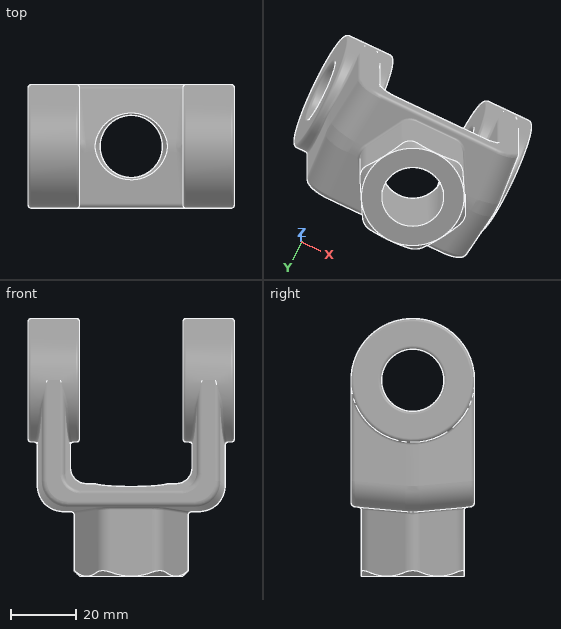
import cadquery as cq
import math

height = 79.4
width = 63.5
depth = 38.1

eye_radius = depth / 2
eye_width = 15.9
eye_bore = 19.05
eye_rim = 1.0
eye_x = (width - eye_width) / 2
eye_z = height - eye_radius

arm_thickness = 10.3
plate_thickness = 8.7
plate_bottom = 19.85
taper_angle = math.radians(5.2)
ridge_half_width = 2.0
outer_corner = 7.9
inner_corner = 4.8
strap_edge_round = 1.6

hex_flats = 31.75
hex_corner_round = 4.8
hex_end_radius = 15.8
shank_bore = 19.05
bore_chamfer = 1.6

eye_blend = 0.8
shank_blend = 0.8

pick_margin = 0.1

plate_top = plate_bottom + plate_thickness
arm_outer = eye_x + arm_thickness / 2
arm_inner = eye_x - arm_thickness / 2
hex_corner_radius = hex_flats / 2 / math.cos(math.pi / 6)

ridge_drop = ridge_half_width * math.tan(taper_angle / 2)
edge_drop = ridge_drop + (depth / 2 - ridge_half_width) * math.tan(taper_angle)


def tapered_block(ridge_x, ridge_z, side):
    """Block below the arm tops whose side and bottom faces carry the ridge and taper.

    With side = 1 the ridges stand out of the block; with side = -1 they cut into it.
    """
    half = depth / 2
    ridge = ridge_half_width
    tangent_x = ridge_x - side * ridge_drop
    edge_x = ridge_x - side * edge_drop
    tangent_z = ridge_z + side * ridge_drop
    edge_z = ridge_z + side * edge_drop

    plan = (
        cq.Workplane("XY")
        .moveTo(-edge_x, half)
        .lineTo(edge_x, half)
        .lineTo(tangent_x, ridge)
        .threePointArc((ridge_x, 0), (tangent_x, -ridge))
        .lineTo(edge_x, -half)
        .lineTo(-edge_x, -half)
        .lineTo(-tangent_x, -ridge)
        .threePointArc((-ridge_x, 0), (-tangent_x, ridge))
        .close()
        .extrude(eye_z)
    )
    end_view = (
        cq.Workplane("YZ")
        .moveTo(-half, eye_z)
        .lineTo(-half, edge_z)
        .lineTo(-ridge, tangent_z)
        .threePointArc((0, ridge_z), (ridge, tangent_z))
        .lineTo(half, edge_z)
        .lineTo(half, eye_z)
        .close()
        .extrude(width, both=True)
    )
    return plan.intersect(end_view)


def corner_edges(ridge_x, ridge_z):
    """Selector for the bottom corner edges of a tapered block."""
    reach = edge_drop + pick_margin
    half = depth / 2 - pick_margin
    right = cq.selectors.BoxSelector(
        (ridge_x - reach, -half, ridge_z - reach), (ridge_x + reach, half, ridge_z + reach)
    )
    left = cq.selectors.BoxSelector(
        (-ridge_x - reach, -half, ridge_z - reach), (-ridge_x + reach, half, ridge_z + reach)
    )
    return right + left


def make_strap():
    """Tapered U with constant-radius corners and rounded long edges, open at the top."""
    outside = tapered_block(arm_outer, plate_bottom, 1)
    outside = outside.edges(corner_edges(arm_outer, plate_bottom)).fillet(outer_corner)
    inside = tapered_block(arm_inner, plate_top, -1)
    inside = inside.edges(corner_edges(arm_inner, plate_top)).fillet(inner_corner)
    strap = outside.cut(inside)
    return strap.faces("<Y or >Y").edges("not(>Z)").fillet(strap_edge_round)


def eye_disc(x, radius):
    """Disc as wide as an eye and on its axis."""
    return cq.Workplane("YZ", origin=(x - eye_width / 2, 0, eye_z)).circle(radius).extrude(eye_width)


def make_eye(x):
    """Ring along X with rounded outer rims; its bore is cut after joining it to the arm."""
    return eye_disc(x, eye_radius).edges().fillet(eye_rim)


def cut_eye_bore(body, x):
    """Cut the pin hole and round both its rims."""
    reach = eye_bore / 2 + pick_margin
    rim_circles = cq.selectors.BoxSelector(
        (x - eye_width, -reach, eye_z - reach),
        (x + eye_width, reach, eye_z + reach),
        boundingbox=True,
    )
    bored = body.cut(eye_disc(x, eye_bore / 2))
    return bored.edges(rim_circles).edges("%CIRCLE").fillet(eye_rim)


def make_shank():
    """Hexagonal prism with rounded corners and a 45 degree chamfer at its lower end."""
    shank_length = plate_bottom + plate_thickness / 2
    prism = (
        cq.Workplane("XY")
        .polygon(6, 2 * hex_corner_radius)
        .extrude(shank_length)
        .edges("|Z")
        .fillet(hex_corner_round)
    )
    cone = cq.Solid.makeCone(hex_end_radius, hex_end_radius + shank_length, shank_length)
    return prism.intersect(cq.Workplane(cone))


def blend_shank(body):
    """Round the junction between the shank and the underside of the strap."""
    reach_x = hex_corner_radius
    reach_y = hex_flats / 2 + pick_margin
    underside = cq.selectors.BoxSelector(
        (-reach_x, -reach_y, plate_bottom - pick_margin), (reach_x, reach_y, plate_bottom + edge_drop)
    )
    return body.edges(underside).fillet(shank_blend)


def blend_eye(body, x):
    """Round the junction between an arm and the lower half of its eye."""
    reach = arm_thickness / 2 + pick_margin
    junction = cq.selectors.BoxSelector(
        (x - reach, -eye_radius + pick_margin, eye_z - eye_radius - pick_margin),
        (x + reach, eye_radius - pick_margin, eye_z - pick_margin),
    )
    return body.edges(junction).fillet(eye_blend)


def cut_shank_bore(body):
    """Bore the shank and plate through, with a 45 degree chamfer level with the plate ridge."""
    radius = shank_bore / 2
    bore = cq.Workplane("XY").circle(radius).extrude(plate_top)
    chamfer = cq.Solid.makeCone(
        radius, radius + bore_chamfer, bore_chamfer, pnt=cq.Vector(0, 0, plate_top - bore_chamfer)
    )
    return body.cut(bore).cut(cq.Workplane(chamfer))


body = blend_shank(make_strap().union(make_shank()))
for x in (-eye_x, eye_x):
    body = blend_eye(body.union(make_eye(x)), x)
    body = cut_eye_bore(body, x)
result = cut_shank_bore(body)